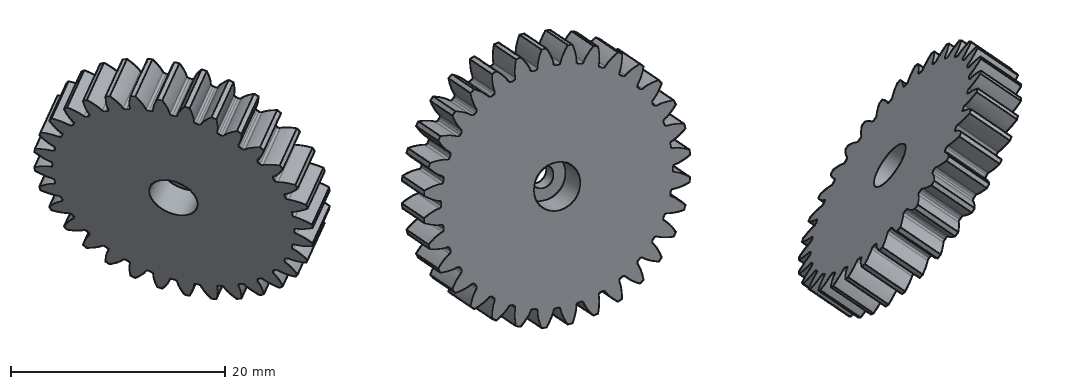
import cadquery as cq
import math

teeth = 32
module = 0.8
pressure_angle = math.radians(20)
profile_shift = 0.25
tip_diameter = 27.62
root_diameter = 23.93
root_fillet = 0.25
face_width = 4.8
flank_steps = 5

bore_diameter = 2.3
counterbore_diameter = 4.8
counterbore_depth = 3.2

pitch_radius = module * teeth / 2
base_radius = pitch_radius * math.cos(pressure_angle)
tip_radius = tip_diameter / 2
root_radius = root_diameter / 2
tooth_pitch = 2 * math.pi / teeth

fillet_center_radius = root_radius + root_fillet
fillet_tangent_length = math.sqrt(fillet_center_radius**2 - base_radius**2)
flank_start_radius = math.hypot(base_radius, fillet_tangent_length - root_fillet)


def involute(angle):
    return math.tan(angle) - angle


def half_tooth_angle(radius):
    """Half the angle a tooth spans at a radius on its involute flank."""
    at_pitch = (math.pi / 2 + 2 * profile_shift * math.tan(pressure_angle)) / teeth
    return at_pitch + involute(pressure_angle) - involute(math.acos(base_radius / radius))


fillet_center_angle = half_tooth_angle(fillet_center_radius) + root_fillet / base_radius


def polar(radius, angle):
    return (radius * math.cos(angle), radius * math.sin(angle))


def fillet_middle(tooth_center, side):
    """Middle of the root fillet arc; side is -1 or +1 for the two flanks of a tooth."""
    center = polar(fillet_center_radius, tooth_center + side * fillet_center_angle)
    on_root = polar(root_radius, tooth_center + side * fillet_center_angle)
    on_flank = polar(flank_start_radius, tooth_center + side * half_tooth_angle(flank_start_radius))
    toward_x = (on_root[0] + on_flank[0]) / 2 - center[0]
    toward_y = (on_root[1] + on_flank[1]) / 2 - center[1]
    stretch = root_fillet / math.hypot(toward_x, toward_y)
    return (center[0] + toward_x * stretch, center[1] + toward_y * stretch)


def make_gear_blank():
    """Full gear outline, one tooth after another, extruded along +Y."""
    flank_height = tip_radius - flank_start_radius
    flank_radii = [
        flank_start_radius + flank_height * step / flank_steps
        for step in range(flank_steps + 1)
    ]
    first_center = tooth_pitch / 2
    outline = cq.Workplane("XZ").moveTo(*polar(root_radius, first_center - fillet_center_angle))
    for tooth in range(teeth):
        center = first_center + tooth * tooth_pitch
        rising = [polar(r, center - half_tooth_angle(r)) for r in flank_radii]
        falling = [polar(r, center + half_tooth_angle(r)) for r in reversed(flank_radii)]
        root_exit = polar(root_radius, center + fillet_center_angle)
        gap_middle = polar(root_radius, center + tooth_pitch / 2)
        next_root_start = polar(root_radius, center + tooth_pitch - fillet_center_angle)
        outline = (
            outline.threePointArc(fillet_middle(center, -1), rising[0])
            .spline(rising[1:], includeCurrent=True)
            .threePointArc(polar(tip_radius, center), falling[0])
            .spline(falling[1:], includeCurrent=True)
            .threePointArc(fillet_middle(center, 1), root_exit)
            .threePointArc(gap_middle, next_root_start)
        )
    return outline.close().extrude(-face_width)


def cut_center_hole(gear):
    """Through bore with a deep counterbore opening at the front face."""
    front = gear.faces("<Y").workplane(origin=(0, 0, 0))
    return front.cboreHole(bore_diameter, counterbore_diameter, counterbore_depth)


result = cut_center_hole(make_gear_blank())